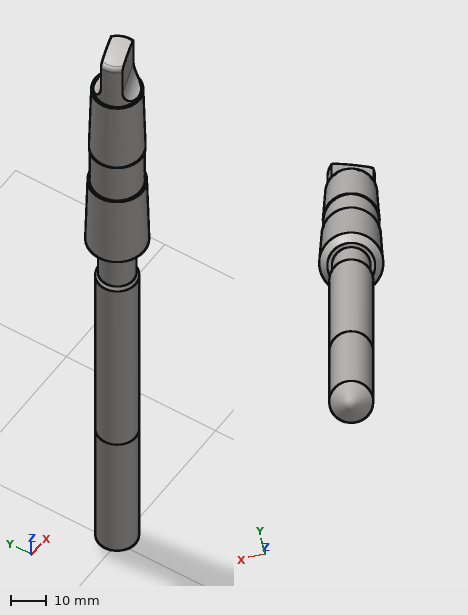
import cadquery as cq
import math

TOTAL_LENGTH = 209.5
POINT_ANGLE = 118.0
CUTTER_TOP = 48.8
DRILL_BODY_TOP = 115.3
NECK_TOP = 127.5
TAPER_BOTTOM = 129.7
RELIEF_BOTTOM = 154.5
RELIEF_TOP = 168.5
TAPER_TOP = 193.0

DRILL_DIAMETER = 12.4
NECK_DIAMETER = 11.0
TAPER_LARGE_DIAMETER = 18.0
TAPER_SMALL_DIAMETER = 14.7
COLLAR_END_DIAMETER = 13.5
RELIEF_DIAMETER = 15.5
BODY_CHAMFER_HEIGHT = 1.3

TANG_DIAMETER = 13.5
TANG_THICKNESS = 6.3
TANG_ANGLE = 18.0
TANG_FLAT_BOTTOM = 198.7
TANG_RUNOUT_RADIUS = 6.0
TANG_DOME_RADIUS = 25.1
TANG_EDGE_RADIUS = 1.5


def revolve_profile(points):
    """Revolve (radius, height) points around the Z axis."""
    return cq.Workplane("XZ").polyline(points).close().revolve(360, (0, 0), (0, 1))


def taper_radius(height):
    """Radius of the shank taper at a given height."""
    fraction = (height - TAPER_BOTTOM) / (TAPER_TOP - TAPER_BOTTOM)
    return (TAPER_LARGE_DIAMETER + fraction * (TAPER_SMALL_DIAMETER - TAPER_LARGE_DIAMETER)) / 2


def make_cutter():
    """Cylindrical cutting end with a conical point."""
    radius = DRILL_DIAMETER / 2
    point_height = radius / math.tan(math.radians(POINT_ANGLE / 2))
    return revolve_profile([(0, 0), (radius, point_height), (radius, CUTTER_TOP), (0, CUTTER_TOP)])


def make_turned_shank():
    """Drill body, neck, relieved taper and the lower round of the tang."""
    drill_radius = DRILL_DIAMETER / 2
    neck_radius = NECK_DIAMETER / 2
    relief_radius = RELIEF_DIAMETER / 2
    tang_radius = TANG_DIAMETER / 2
    return revolve_profile([
        (0, CUTTER_TOP),
        (drill_radius, CUTTER_TOP),
        (drill_radius, DRILL_BODY_TOP - BODY_CHAMFER_HEIGHT),
        (neck_radius, DRILL_BODY_TOP),
        (neck_radius, NECK_TOP),
        (COLLAR_END_DIAMETER / 2, NECK_TOP),
        (taper_radius(TAPER_BOTTOM), TAPER_BOTTOM),
        (taper_radius(RELIEF_BOTTOM), RELIEF_BOTTOM),
        (relief_radius, RELIEF_BOTTOM),
        (relief_radius, RELIEF_TOP),
        (taper_radius(RELIEF_TOP), RELIEF_TOP),
        (taper_radius(TAPER_TOP), TAPER_TOP),
        (tang_radius, TAPER_TOP),
        (tang_radius, TANG_FLAT_BOTTOM),
        (0, TANG_FLAT_BOTTOM),
    ])


def make_tang_end():
    """Upper round of the tang, closed by a shallow dome with a rounded rim."""
    tang_radius = TANG_DIAMETER / 2
    dome_center = TOTAL_LENGTH - TANG_DOME_RADIUS
    rim_x = tang_radius - TANG_EDGE_RADIUS
    center_distance = TANG_DOME_RADIUS - TANG_EDGE_RADIUS
    rim_z = dome_center + math.sqrt(center_distance**2 - rim_x**2)
    dome_angle = math.acos(rim_x / center_distance)

    def rim_point(angle):
        return (rim_x + TANG_EDGE_RADIUS * math.cos(angle), rim_z + TANG_EDGE_RADIUS * math.sin(angle))

    def dome_point(angle):
        return (TANG_DOME_RADIUS * math.cos(angle), dome_center + TANG_DOME_RADIUS * math.sin(angle))

    dome_middle_angle = (dome_angle + math.pi / 2) / 2
    return (
        cq.Workplane("XZ")
        .moveTo(0, TANG_FLAT_BOTTOM)
        .lineTo(tang_radius, TANG_FLAT_BOTTOM)
        .lineTo(*rim_point(0))
        .threePointArc(rim_point(dome_angle / 2), rim_point(dome_angle))
        .threePointArc(dome_point(dome_middle_angle), (0, TOTAL_LENGTH))
        .close()
        .revolve(360, (0, 0), (0, 1))
    )


def make_tang_cut():
    """Material removed beside one tang flat, with a concave runout at its foot."""
    flat = TANG_THICKNESS / 2
    radius = TANG_RUNOUT_RADIUS
    arc_offset = radius * math.sqrt(0.5)
    outer = flat + radius
    foot = TANG_FLAT_BOTTOM - radius
    return (
        cq.Workplane("YZ")
        .moveTo(flat, TOTAL_LENGTH)
        .lineTo(flat, TANG_FLAT_BOTTOM)
        .threePointArc((outer - arc_offset, TANG_FLAT_BOTTOM - arc_offset), (outer, foot))
        .lineTo(outer, TOTAL_LENGTH)
        .close()
        .extrude(TAPER_LARGE_DIAMETER / 2, both=True)
    )


def make_shank():
    """Turned shank with two opposite flats on its tang."""
    shank = make_turned_shank().union(make_tang_end())
    tang_cut = make_tang_cut()
    for side_angle in (0, 180):
        shank = shank.cut(tang_cut.rotate((0, 0, 0), (0, 0, 1), TANG_ANGLE + side_angle))
    return shank


cutter = make_cutter()
shank = make_shank()
result = cq.Compound.makeCompound([cutter.val(), shank.val()])